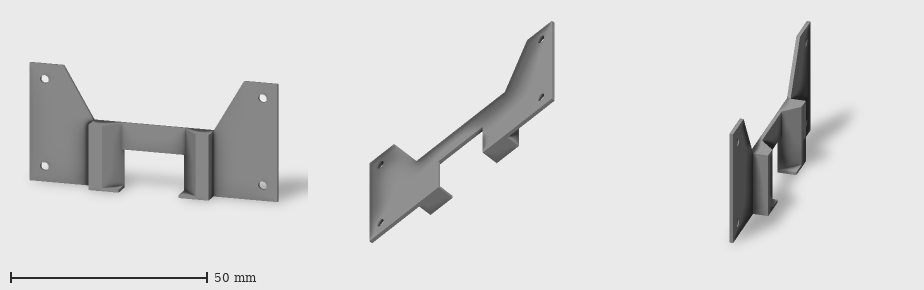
import cadquery as cq

width = 66.2
depth = 5.0
height = 31.1
plate_thickness = 1.0

wing_top_width = 9.0
bridge_top = 17.35
bridge_bottom = 10.3

block_outer_x = 16.0
opening_half_width = 8.0
front_land_width = 3.5
floor_thickness = 0.8

hole_diameter = 2.25
hole_x = 29.15
hole_low_z = 4.0
hole_spacing_z = 23.1


def box(x_min, x_max, y_min, z_min, z_max):
    """Box from y_min to the back face."""
    return cq.Workplane("XY").box(
        x_max - x_min, -y_min, z_max - z_min, centered=False
    ).translate((x_min, y_min, z_min))


def make_wing():
    """Right half-plate beside the opening, with a sloped upper corner."""
    half_width = width / 2
    outline = [
        (opening_half_width, 0),
        (half_width, 0),
        (half_width, height),
        (half_width - wing_top_width, height),
        (block_outer_x, bridge_top),
        (opening_half_width, bridge_top),
    ]
    return cq.Workplane("XZ").polyline(outline).close().extrude(plate_thickness)


def make_corner_cut():
    """45-degree prism removed from the inner front corner, above the floor."""
    land_inner_x = block_outer_x - front_land_width
    cut_run = land_inner_x - opening_half_width
    return (
        cq.Workplane("XY")
        .workplane(offset=floor_thickness)
        .moveTo(opening_half_width, -depth)
        .lineTo(land_inner_x, -depth)
        .lineTo(opening_half_width, -depth + cut_run)
        .close()
        .extrude(bridge_top - floor_thickness)
    )


def make_holes():
    """Two through-hole cylinders in the right wing."""
    centres = [(hole_x, hole_low_z), (hole_x, hole_low_z + hole_spacing_z)]
    return cq.Workplane("XZ").pushPoints(centres).circle(hole_diameter / 2).extrude(plate_thickness)


block = box(opening_half_width, block_outer_x, -depth, 0, bridge_top)
right_side = make_wing().union(block).cut(make_corner_cut()).cut(make_holes())
left_side = right_side.mirror("YZ")

bridge = box(-block_outer_x, block_outer_x, -plate_thickness, bridge_bottom, bridge_top)

result = right_side.union(left_side).union(bridge)